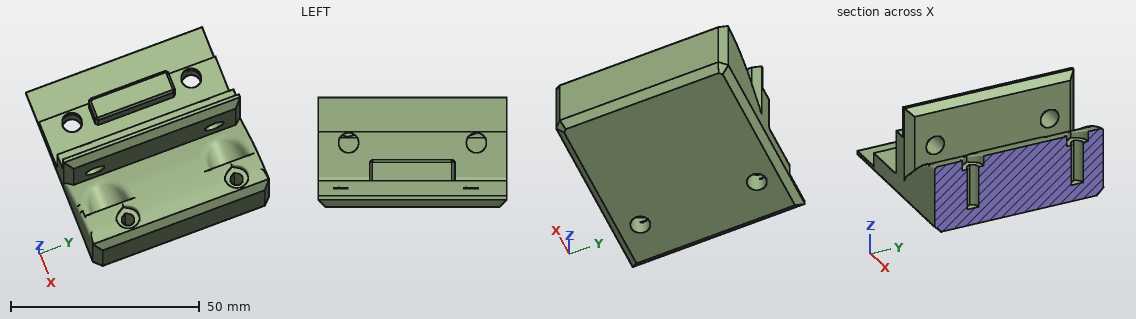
import cadquery as cq
import math

LENGTH = 51.38
WIDTH = 50.0
HEIGHT = 29.0
EDGE_CHAMFER = 2.0

PICK_MARGIN = 0.1

LIP_HEIGHT = 3.0
LEDGE_FRONT = 9.8
LEDGE_HEIGHT = 7.0
WALL_FRONT = 23.1
WALL_HEIGHT = 20.0
WALL_ROOT_RADIUS = 1.0
TAB_FRONT = 27.1
TAB_BACK = 30.0
TAB_CHAMFER_START = TAB_BACK - EDGE_CHAMFER

RAMP_ANGLE = math.radians(40.3)
RAMP_END_X = 35.1
RAMP_END_Z = 14.65
CROWN_RADIUS = 24.5
RIM_FILLET = 1.0

BAR_FRONT = 9.9
BAR_BACK = 16.2
BAR_WIDTH = 22.6
BAR_HEIGHT = 5.5
BAR_CHAMFER = 0.6
BAR_CORNER_SETBACK = 0.95
BAR_CORNER_KNEE_X = 0.45
BAR_CORNER_KNEE_Y = 0.2

CLEARANCE_DIAMETER = 5.3
CLEARANCE_Y = 16.9
LEDGE_HOLE_X = 13.0
WALL_HOLE_Z = 17.0

SCOOP_DIAMETER = 10.0
SCOOP_END = 41.0
SCOOP_FILLET = 2.0

SLIT_Y = (18.9, -15.5)
SLIT_Z = 5.0
SLIT_THICKNESS = 0.25
SLIT_RADIUS = 3.5

SCREW_X = 45.7
SCREW_Y = (17.2, -13.6)
HEAD_RADIUS = 3.1
HEAD_DEPTH = 3.0
HEAD_RIM_FILLET = 0.35
SHANK_RADIUS = 1.65
SHANK_BOTTOM = 5.0
TEARDROP_TANGENT_ANGLE = math.radians(31)


def extrude_across_width(outline):
    return outline.close().extrude(WIDTH / 2, both=True)


def front_steps():
    outline = (
        cq.Workplane("XZ")
        .moveTo(0, 0)
        .lineTo(0, LIP_HEIGHT)
        .lineTo(LEDGE_FRONT, LIP_HEIGHT)
        .lineTo(LEDGE_FRONT, LEDGE_HEIGHT)
        .lineTo(WALL_FRONT - WALL_ROOT_RADIUS, LEDGE_HEIGHT)
        .radiusArc((WALL_FRONT, LEDGE_HEIGHT + WALL_ROOT_RADIUS), -WALL_ROOT_RADIUS)
        .lineTo(WALL_FRONT, WALL_HEIGHT)
        .lineTo(TAB_FRONT, WALL_HEIGHT)
        .lineTo(TAB_FRONT, HEIGHT)
        .lineTo(TAB_BACK, HEIGHT)
        .lineTo(TAB_BACK, 0)
    )
    steps = extrude_across_width(outline)
    tab_rear_edges = cq.selectors.BoxSelector(
        (TAB_BACK - PICK_MARGIN, -WIDTH, PICK_MARGIN),
        (TAB_BACK + PICK_MARGIN, WIDTH, HEIGHT + PICK_MARGIN),
    )
    return steps.edges(tab_rear_edges).chamfer(EDGE_CHAMFER)


def crown_point(x):
    """Point of the crown arc above the given X."""
    center_x = RAMP_END_X + CROWN_RADIUS * math.sin(RAMP_ANGLE)
    center_z = RAMP_END_Z - CROWN_RADIUS * math.cos(RAMP_ANGLE)
    return x, center_z + math.sqrt(CROWN_RADIUS**2 - (x - center_x) ** 2)


def scoop(side):
    """Blind cylinder along X, in line with the wall hole."""
    return (
        cq.Workplane("YZ", origin=(TAB_BACK, side * CLEARANCE_Y, WALL_HOLE_Z))
        .circle(SCOOP_DIAMETER / 2)
        .extrude(SCOOP_END - TAB_BACK)
    )


def rear_envelope():
    """Box limiting the rear block, with its rear corners and rear top edge bevelled."""
    return (
        cq.Workplane("XY")
        .box(LENGTH, WIDTH, WALL_HEIGHT, centered=(False, True, False))
        .edges(">X and (|Z or >Z)")
        .chamfer(EDGE_CHAMFER)
    )


def rear_block():
    ramp_start_z = RAMP_END_Z - (RAMP_END_X - TAB_CHAMFER_START) * math.tan(RAMP_ANGLE)
    crown_end = crown_point(LENGTH)
    crown_middle = crown_point((RAMP_END_X + LENGTH) / 2)
    outline = (
        cq.Workplane("XZ")
        .moveTo(TAB_CHAMFER_START, 0)
        .lineTo(TAB_CHAMFER_START, ramp_start_z)
        .lineTo(RAMP_END_X, RAMP_END_Z)
        .threePointArc(crown_middle, crown_end)
        .lineTo(LENGTH, 0)
    )
    block = extrude_across_width(outline)
    upper_faces = cq.selectors.BoxSelector(
        (TAB_CHAMFER_START + PICK_MARGIN, -WIDTH, PICK_MARGIN),
        (LENGTH - PICK_MARGIN, WIDTH, HEIGHT),
    )
    block = block.faces("<Y or >Y").edges(upper_faces).fillet(RIM_FILLET)

    block = block.intersect(rear_envelope())
    for side in (1, -1):
        block = block.cut(scoop(side))
        y = side * CLEARANCE_Y
        reach = SCOOP_DIAMETER / 2 + PICK_MARGIN
        mouth = cq.selectors.BoxSelector(
            (TAB_BACK, y - reach, 0), (SCOOP_END - PICK_MARGIN, y + reach, WALL_HEIGHT)
        )
        block = block.edges(mouth).edges("not |X").fillet(SCOOP_FILLET)
    return block


def locating_bar():
    """Bar with bevelled corners; the (-X, -Y) corner is broken by two flats."""
    half_width = BAR_WIDTH / 2
    outline = [
        (BAR_FRONT, half_width - BAR_CHAMFER),
        (BAR_FRONT + BAR_CHAMFER, half_width),
        (BAR_BACK - BAR_CHAMFER, half_width),
        (BAR_BACK, half_width - BAR_CHAMFER),
        (BAR_BACK, BAR_CHAMFER - half_width),
        (BAR_BACK - BAR_CHAMFER, -half_width),
        (BAR_FRONT + BAR_CORNER_SETBACK, -half_width),
        (BAR_FRONT + BAR_CORNER_KNEE_X, BAR_CORNER_KNEE_Y - half_width),
        (BAR_FRONT, BAR_CORNER_SETBACK - half_width),
    ]
    bar = cq.Workplane("XY", origin=(0, 0, LEDGE_HEIGHT)).polyline(outline).close().extrude(BAR_HEIGHT)
    return bar.faces(">Z").chamfer(BAR_CHAMFER)


def teardrop(radius, y, bottom, top):
    tangent_x = -radius * math.cos(TEARDROP_TANGENT_ANGLE)
    tangent_y = radius * math.sin(TEARDROP_TANGENT_ANGLE)
    tip_x = -radius / math.cos(TEARDROP_TANGENT_ANGLE)
    return (
        cq.Workplane("XY", origin=(SCREW_X, y, bottom))
        .moveTo(tip_x, 0)
        .lineTo(tangent_x, tangent_y)
        .threePointArc((radius, 0), (tangent_x, -tangent_y))
        .close()
        .extrude(top - bottom)
    )


def cut_clearance_holes(body):
    radius = CLEARANCE_DIAMETER / 2
    for side in (1, -1):
        y = side * CLEARANCE_Y
        ledge_hole = cq.Workplane("XY", origin=(LEDGE_HOLE_X, y, 0)).circle(radius).extrude(HEIGHT)
        wall_hole = (
            cq.Workplane("YZ", origin=(WALL_FRONT, y, WALL_HOLE_Z))
            .circle(radius)
            .extrude(TAB_BACK - WALL_FRONT)
        )
        body = body.cut(ledge_hole).cut(wall_hole)
    return body


def cut_slits(body):
    for y in SLIT_Y:
        slit = (
            cq.Workplane("XY", origin=(LEDGE_HOLE_X, y, SLIT_Z - SLIT_THICKNESS / 2))
            .circle(SLIT_RADIUS)
            .extrude(SLIT_THICKNESS)
        )
        body = body.cut(slit)
    return body


def cut_screw_pockets(body):
    head_bottom = WALL_HEIGHT - HEAD_DEPTH
    for y in SCREW_Y:
        head = teardrop(HEAD_RADIUS, y, head_bottom, HEIGHT)
        shank = teardrop(SHANK_RADIUS, y, SHANK_BOTTOM, HEIGHT)
        body = body.cut(head).cut(shank)
        reach = HEAD_RADIUS / math.cos(TEARDROP_TANGENT_ANGLE) + PICK_MARGIN
        rim = cq.selectors.BoxSelector(
            (SCREW_X - reach, y - reach, head_bottom + PICK_MARGIN),
            (SCREW_X + reach, y + reach, WALL_HEIGHT + PICK_MARGIN),
            boundingbox=True,
        )
        body = body.edges(rim).fillet(HEAD_RIM_FILLET)
    return body


result = front_steps().union(rear_block())
result = result.faces("<Z").edges().chamfer(EDGE_CHAMFER)
result = cut_clearance_holes(result)
result = cut_slits(result)
result = result.union(locating_bar())
result = cut_screw_pockets(result)